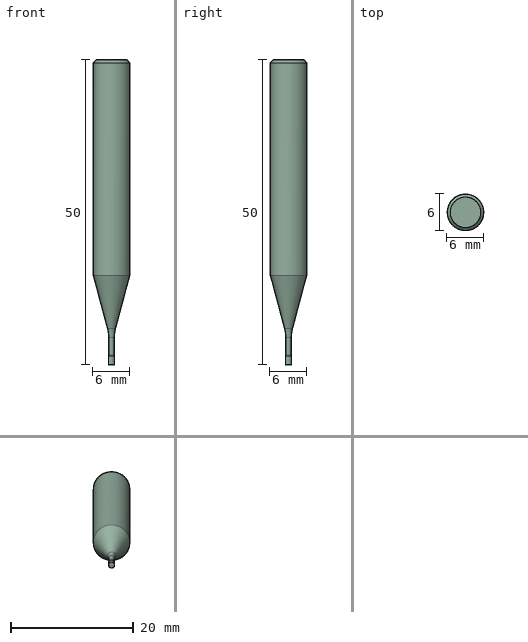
import cadquery as cq
import math

total_length = 50.0

shank_radius = 3.0
shank_chamfer = 0.5

tip_radius = 0.5
tip_length = 1.5

neck_radius = 0.475
step_height = 0.15
neck_bottom = tip_length + step_height
neck_top = 4.5

taper_angle = math.radians(15)
flare_height = 1.5
flare_arc_radius = flare_height / math.sin(taper_angle)
flare_top = neck_top + flare_height


def flare_point(angle):
    """Profile point on the flare after it has turned through the given angle."""
    return (
        neck_radius + flare_arc_radius * (1 - math.cos(angle)),
        neck_top + flare_arc_radius * math.sin(angle),
    )


flare_end = flare_point(taper_angle)
shank_bottom = flare_top + (shank_radius - flare_end[0]) / math.tan(taper_angle)


def make_holder():
    """Shank, taper, flare and neck, revolved as one solid."""
    profile = (
        cq.Workplane("XZ")
        .moveTo(0, tip_length)
        .lineTo(tip_radius, tip_length)
        .lineTo(neck_radius, neck_bottom)
        .lineTo(neck_radius, neck_top)
        .threePointArc(flare_point(taper_angle / 2), flare_end)
        .lineTo(shank_radius, shank_bottom)
        .lineTo(shank_radius, total_length - shank_chamfer)
        .lineTo(shank_radius - shank_chamfer, total_length)
        .lineTo(0, total_length)
        .close()
    )
    return profile.revolve(360, (0, 0, 0), (0, 1, 0))


def make_cutting_tip():
    """Plain cylinder that carries the cutting diameter."""
    return cq.Workplane("XY").circle(tip_radius).extrude(tip_length)


holder = make_holder()
cutting_tip = make_cutting_tip()

result = cq.Compound.makeCompound([holder.val(), cutting_tip.val()])